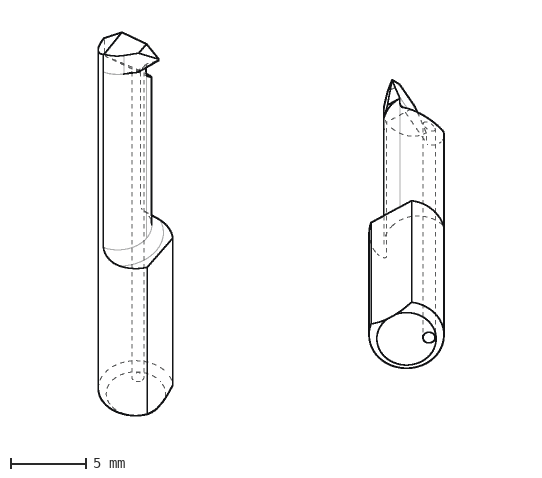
import cadquery as cq
import math

LENGTH = 35.0
SHANK_RADIUS = 2.502
FLAT_X = 1.942
END_CHAMFER = 0.52

NECK_X = -1.45
NECK_RADIUS = 2.28
SHOULDER_Z = 15.05
SHOULDER_FILLET = 0.77

TIP_X = 1.85
TIP_Z = 34.02
TIP_WIDTH = 0.1
TOP_LEFT_X = -1.1
TOP_RIGHT_X = 0.88
TIP_ROOT_Z = 33.05
NECK_TOP_Z = 33.15
RELIEF_ANGLE = 2.3

SLOPE_END_Z = 29.12
SLOPE_ANGLE = 50.0
SLOPE_FILLET = 1.4

COOLANT_DIAMETER = 0.8
COOLANT_X = -0.7
COOLANT_Y = 1.33


def make_shank():
    """Chamfered round bar, trimmed by the full-length flat."""
    bar = cq.Workplane("XY").circle(SHANK_RADIUS).extrude(LENGTH)
    bar = bar.faces("<Z").chamfer(END_CHAMFER)
    keep_width = FLAT_X + SHANK_RADIUS
    keep = cq.Workplane("XY").box(keep_width, 2 * SHANK_RADIUS, LENGTH, centered=(False, True, False))
    return bar.intersect(keep.translate((-SHANK_RADIUS, 0, 0)))


def make_neck_envelope():
    """Round neck flaring through a concave fillet into the shoulder."""
    flare_radius = NECK_RADIUS + SHOULDER_FILLET
    base_radius = 3 * SHANK_RADIUS
    arc_inset = SHOULDER_FILLET * (1 - math.sqrt(0.5))
    profile = (
        cq.Workplane("XZ")
        .lineTo(base_radius, 0)
        .lineTo(base_radius, SHOULDER_Z)
        .lineTo(flare_radius, SHOULDER_Z)
        .threePointArc(
            (NECK_RADIUS + arc_inset, SHOULDER_Z + arc_inset),
            (NECK_RADIUS, SHOULDER_Z + SHOULDER_FILLET),
        )
        .lineTo(NECK_RADIUS, NECK_TOP_Z)
        .lineTo(0, NECK_TOP_Z)
        .close()
    )
    return profile.revolve(360, (0, 0, 0), (0, 1, 0)).translate((NECK_X, 0, 0))


def make_head():
    """Pointed cutting head with relief, its side flank tangent to the neck."""
    left_x = -SHANK_RADIUS - 0.35
    left_z = LENGTH - (TOP_LEFT_X - left_x)
    root_x = NECK_X + NECK_RADIUS
    profile = [
        (left_x, TIP_ROOT_Z),
        (left_x, left_z),
        (TOP_LEFT_X, LENGTH),
        (TOP_RIGHT_X, LENGTH),
        (TIP_X, TIP_Z + TIP_WIDTH / 2),
        (TIP_X, TIP_Z - TIP_WIDTH / 2),
        (root_x, TIP_ROOT_Z),
    ]
    blank = cq.Workplane("XZ").polyline(profile).close().extrude(SHANK_RADIUS, taper=RELIEF_ANGLE)

    tangent_angle = math.acos(NECK_RADIUS / (TIP_X - NECK_X))
    tangent_x = NECK_X + NECK_RADIUS * math.cos(tangent_angle)
    tangent_y = -NECK_RADIUS * math.sin(tangent_angle)
    outline = (
        cq.Workplane("XY")
        .moveTo(NECK_X - NECK_RADIUS, 0)
        .lineTo(TIP_X, 0)
        .lineTo(tangent_x, tangent_y)
        .threePointArc(
            (NECK_X - NECK_RADIUS * math.sin(tangent_angle / 2),
             -NECK_RADIUS * math.cos(tangent_angle / 2)),
            (NECK_X - NECK_RADIUS, 0),
        )
        .close()
        .extrude(LENGTH)
    )
    return blank.intersect(outline)


def make_runout_cut():
    """Removes the back half of the tip down a filleted slope."""
    rise = math.tan(math.radians(SLOPE_ANGLE))
    foot_z = SLOPE_END_Z + NECK_RADIUS * rise
    outer_y = 2 * SHANK_RADIUS
    cut = (
        cq.Workplane("YZ")
        .moveTo(0, LENGTH + 0.35)
        .lineTo(0, foot_z)
        .lineTo(outer_y, foot_z - outer_y * rise)
        .lineTo(outer_y, LENGTH + 0.35)
        .close()
        .extrude(2 * SHANK_RADIUS, both=True)
    )
    foot_edge = cq.selectors.NearestToPointSelector((0, 0, foot_z))
    return cut.edges("|X").edges(foot_edge).fillet(SLOPE_FILLET)


coolant_hole = (
    cq.Workplane("XY")
    .center(COOLANT_X, COOLANT_Y)
    .circle(COOLANT_DIAMETER / 2)
    .extrude(LENGTH)
)

tool_envelope = make_neck_envelope().union(make_head())
result = make_shank().intersect(tool_envelope).cut(make_runout_cut()).cut(coolant_hole)